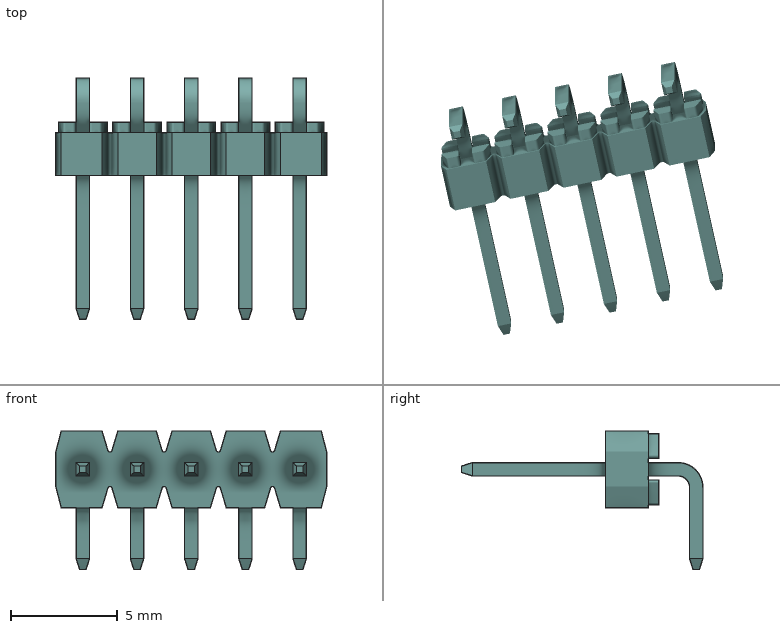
import cadquery as cq
import math


overall_depth = 11.32
overall_height = 6.5
pin_count = 5
pitch = 2.54
bar_length = pin_count * pitch
pin_places = [(i - (pin_count - 1) / 2) * pitch for i in range(pin_count)]
notch_places = [x + pitch / 2 for x in pin_places[:-1]]

bar_height = 3.61
bar_depth = 2.01
half_height = bar_height / 2
bevel_height = 0.99
end_bevel_width = 0.25
notch_mouth_width = 0.74
notch_depth = 0.99
notch_root_radius = 0.095

nub_depth = 0.5
nub_inset = 0.13
nub_height = 1.18
nub_inner_place = 0.32
nub_top_width = 0.57
nub_bottom_width = 0.86
nub_fillet = 0.13

pin_width = 0.64
tip_width = 0.3
tip_length = 0.51
rear_reach = 2.57
tail_drop = overall_height - half_height
bend_radius = 1.17
front_reach = overall_depth - rear_reach - bar_depth


def make_notch():
    """V notch open at the top of the bar, its sides running tangent into a round root."""
    mouth = notch_mouth_width / 2
    z_root = half_height - notch_depth
    z_center = z_root + notch_root_radius
    mouth_rise = half_height - z_center
    mouth_distance = math.hypot(mouth, mouth_rise)
    tangent_angle = math.atan2(mouth_rise, mouth) - math.acos(notch_root_radius / mouth_distance)
    x_tangent = notch_root_radius * math.cos(tangent_angle)
    z_tangent = z_center + notch_root_radius * math.sin(tangent_angle)
    return (
        cq.Workplane("XZ")
        .moveTo(-mouth, half_height)
        .lineTo(-x_tangent, z_tangent)
        .threePointArc((0, z_root), (x_tangent, z_tangent))
        .lineTo(mouth, half_height)
        .close()
        .extrude(bar_depth)
    )


def make_bar():
    """Bar with bevelled ends, cut by V notches between the pins, above and below."""
    x_end = bar_length / 2
    x_flat = x_end - end_bevel_width
    z_bevel = half_height - bevel_height
    outline = [
        (-x_end, -z_bevel), (-x_end, z_bevel), (-x_flat, half_height), (x_flat, half_height),
        (x_end, z_bevel), (x_end, -z_bevel), (x_flat, -half_height), (-x_flat, -half_height),
    ]
    bar = cq.Workplane("XZ").polyline(outline).close().extrude(bar_depth)
    notch = make_notch()
    for x in notch_places:
        bar = bar.cut(notch.translate((x, 0, 0)))
        bar = bar.cut(notch.mirror("XY").translate((x, 0, 0)))
    return bar


def make_nubs():
    """Four rounded nubs around one pin, each with a sloping outer side."""
    z_top = half_height - nub_inset
    z_bottom = z_top - nub_height
    outline = [
        (nub_inner_place, z_bottom), (nub_inner_place, z_top),
        (nub_inner_place + nub_top_width, z_top), (nub_inner_place + nub_bottom_width, z_bottom),
    ]
    nub = cq.Workplane("XZ").polyline(outline).close().extrude(-nub_depth)
    nub = nub.edges("|Y").fillet(nub_fillet)
    upper = nub.union(nub.mirror("YZ"))
    return upper.union(upper.mirror("XY"))


def make_tip(plane):
    """Tapered pin end, grown from a workplane at the end of the straight shank."""
    taper = math.degrees(math.atan((pin_width - tip_width) / 2 / tip_length))
    return plane.rect(pin_width, pin_width).extrude(tip_length, taper=taper)


def make_pin():
    """Square pin running forward through the bar, bent down behind it, tapered at both ends."""
    half = pin_width / 2
    y_front = -bar_depth - front_reach + tip_length
    z_tail = -tail_drop + tip_length
    y_bend = rear_reach - bend_radius
    z_bend = half - bend_radius
    inner_radius = bend_radius - pin_width
    outer_mid = bend_radius * math.sqrt(0.5)
    inner_mid = inner_radius * math.sqrt(0.5)
    shank = (
        cq.Workplane("YZ", origin=(-half, 0, 0))
        .moveTo(y_front, half)
        .lineTo(y_bend, half)
        .threePointArc((y_bend + outer_mid, z_bend + outer_mid), (rear_reach, z_bend))
        .lineTo(rear_reach, z_tail)
        .lineTo(rear_reach - pin_width, z_tail)
        .lineTo(rear_reach - pin_width, z_bend)
        .threePointArc((y_bend + inner_mid, z_bend + inner_mid), (y_bend, -half))
        .lineTo(y_front, -half)
        .close()
        .extrude(pin_width)
    )
    front_tip = make_tip(cq.Workplane("XZ", origin=(0, y_front, 0)))
    tail_end = cq.Plane(origin=(0, rear_reach - half, z_tail), xDir=(1, 0, 0), normal=(0, 0, -1))
    tail_tip = make_tip(cq.Workplane(tail_end))
    return shank.union(front_tip).union(tail_tip)


result = make_bar()
position = make_pin().union(make_nubs())
for x in pin_places:
    result = result.union(position.translate((x, 0, 0)))